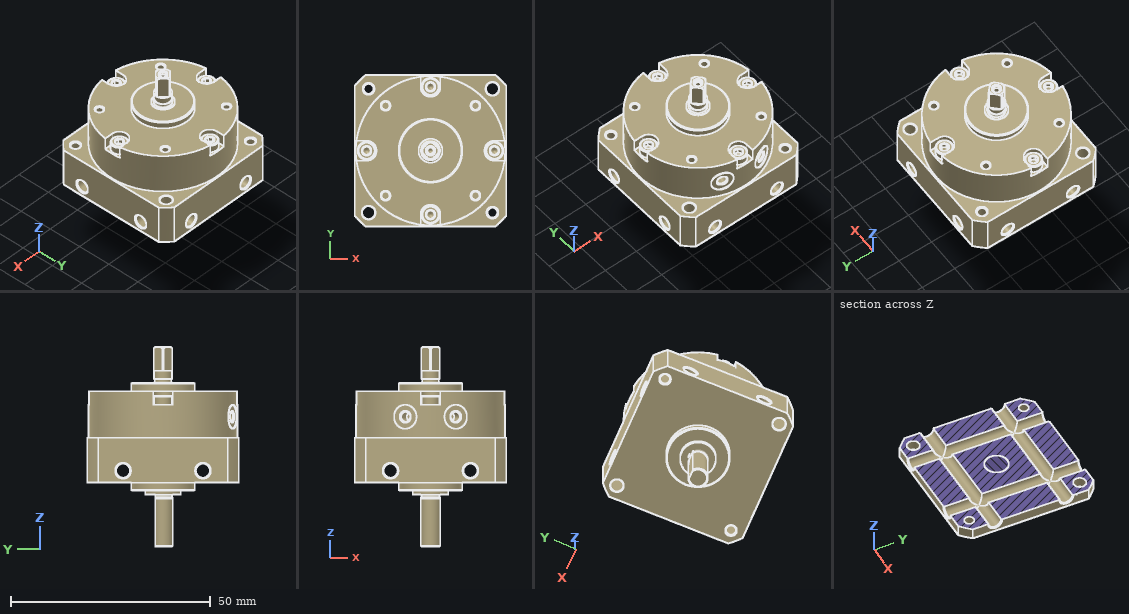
import cadquery as cq
import math

base_width = 38.0
base_height = 11.3
base_corner_diameter = 50.0
drum_diameter = 37.4
drum_top = 22.9
boss_diameter = 16.0
boss_top = 25.0
boss_bottom = -2.0
boss_chamfer = 0.25

cross_hole_diameter = 3.5
cross_hole_rim = 4.0
cross_hole_offset = 10.0
cross_hole_height = 3.0

corner_hole_offset = 15.5
clearance_diameter = 3.2
clearance_rim = 3.5
thread_diameter = 2.45
thread_rim = 3.0

mount_hole_offset = 11.25
mount_hole_diameter = 2.0
mount_hole_rim = 2.5
mount_hole_depth = 3.0

screw_circle_radius = 16.0
slot_width = 5.0
slot_floor = 19.45
screw_head_diameter = 4.5
screw_head_top = 21.8
screw_head_chamfer = 0.25
socket_flats = 2.0
socket_depth = 1.5
socket_rim = 2.45
drill_point_angle = 118.0

port_angles = (-110.0, -70.0)
port_height = 16.5
port_face_diameter = 6.0
port_face_radius = 18.45
port_depth = 4.5

journal_diameter = 6.0
shaft_length = 50.0
shaft_reach_above_boss = 9.0
shaft_top = boss_top + shaft_reach_above_boss
shaft_bottom = shaft_top - shaft_length
square_bottom = 28.0
square_flats = 3.6
square_corner_diameter = 4.75
square_chamfer = 0.4
neck_diameter = 4.6
neck_bottom = 26.0
top_groove_diameter = 4.2
top_groove_taper = 0.1
journal_recess = 0.25
journal_top = boss_top - journal_recess
journal_cone_height = 0.25
journal_cone_top_diameter = 4.8
collar_diameter = 9.0
collar_height = 1.0
collar_bottom = boss_bottom - collar_height
undercut_diameter = 4.6
undercut_width = 0.65
undercut_taper = 0.35
undercut_end = collar_bottom - undercut_width - undercut_taper
root_fillet = 0.25
output_diameter = 5.0
output_chamfer = 0.25
output_flat_distance = 2.0
center_hole_diameter = 1.55
center_recess_diameter = 2.2
center_recess_rim = 2.45
center_recess_depth = 0.5
center_hole_depth = 3.0


def cone_height(diameter):
    """Height of a drill point of the given diameter."""
    return diameter / 2 / math.tan(math.radians(drill_point_angle / 2))


def drill(plane, diameter, rim, depth, pointed=False):
    """Cutter that goes in along -normal of the plane, with a 45 degree countersink at its mouth."""
    radius = diameter / 2
    lip = (rim - diameter) / 2
    tip = depth + (cone_height(diameter) if pointed else 0)
    profile = (
        cq.Workplane("XZ")
        .moveTo(0, 0)
        .lineTo(radius + lip, 0)
        .lineTo(radius, -lip)
        .lineTo(radius, -depth)
        .lineTo(0, -tip)
        .close()
    )
    cutter = profile.revolve(360, (0, 0, 0), (0, 1, 0)).val()
    return cq.Workplane(cutter.moved(cq.Location(plane)))


def through_drill(plane, diameter, rim, length):
    """Cutter through the whole length, countersunk at both ends."""
    far_plane = cq.Plane(plane.origin - plane.zDir * length, plane.xDir, -plane.zDir)
    near_half = drill(plane, diameter, rim, length / 2)
    far_half = drill(far_plane, diameter, rim, length / 2)
    return near_half.union(far_half)


def upward_plane(x, y, z):
    return cq.Plane((x, y, z), (1, 0, 0), (0, 0, 1))


def base():
    block = cq.Workplane("XY").rect(base_width, base_width).extrude(base_height)
    trim = cq.Workplane("XY").circle(base_corner_diameter / 2).extrude(base_height)
    block = block.intersect(trim)

    half = base_width / 2
    for side in (-cross_hole_offset, cross_hole_offset):
        along_y = cq.Plane((side, -half, cross_hole_height), (1, 0, 0), (0, -1, 0))
        along_x = cq.Plane((-half, side, cross_hole_height), (0, 1, 0), (-1, 0, 0))
        for plane in (along_x, along_y):
            block = block.cut(through_drill(plane, cross_hole_diameter, cross_hole_rim, base_width))

    for x_sign in (-1, 1):
        for y_sign in (-1, 1):
            plane = upward_plane(x_sign * corner_hole_offset, y_sign * corner_hole_offset, base_height)
            if x_sign == y_sign:
                hole = through_drill(plane, clearance_diameter, clearance_rim, base_height)
            else:
                hole = through_drill(plane, thread_diameter, thread_rim, base_height)
            block = block.cut(hole)
    return block


def screw_slot(angle):
    """Open-ended slot around one screw head."""
    height = drum_top - slot_floor
    length = drum_diameter / 2
    straight = (
        cq.Workplane("XY", origin=(screw_circle_radius, 0, slot_floor))
        .rect(length, slot_width)
        .extrude(height)
        .translate((length / 2, 0, 0))
    )
    rounded = (
        cq.Workplane("XY", origin=(screw_circle_radius, 0, slot_floor))
        .circle(slot_width / 2)
        .extrude(height)
    )
    return straight.union(rounded).rotate((0, 0, 0), (0, 0, 1), angle)


def screw_head(angle):
    """Socket screw head, with a hexagon whose corners point along Y."""
    x = screw_circle_radius * math.cos(math.radians(angle))
    y = screw_circle_radius * math.sin(math.radians(angle))
    head = (
        cq.Workplane("XY", origin=(x, y, slot_floor))
        .circle(screw_head_diameter / 2)
        .extrude(screw_head_top - slot_floor)
        .faces(">Z")
        .chamfer(screw_head_chamfer)
    )
    hexagon = (
        cq.Workplane("XY", origin=(x, y, screw_head_top))
        .transformed(rotate=(0, 0, 90))
        .polygon(6, socket_flats, circumscribed=True)
        .extrude(-socket_depth)
    )
    top_plane = upward_plane(x, y, screw_head_top)
    point = drill(top_plane, socket_flats, socket_rim, socket_depth, pointed=True)
    return head.cut(hexagon).cut(point)


def port(angle):
    """Spot face and threaded hole of one air port, pointing at the main axis."""
    direction = cq.Vector(math.cos(math.radians(angle)), math.sin(math.radians(angle)), 0)
    origin = direction * port_face_radius + cq.Vector(0, 0, port_height)
    plane = cq.Plane(origin, (0, 0, 1), direction)
    face_depth = drum_diameter / 2 - port_face_radius
    spot_face = cq.Workplane(plane).circle(port_face_diameter / 2).extrude(face_depth)
    return spot_face.union(drill(plane, thread_diameter, thread_rim, port_depth))


def drum():
    body = (
        cq.Workplane("XY", origin=(0, 0, base_height))
        .circle(drum_diameter / 2)
        .extrude(drum_top - base_height)
    )
    for angle in (0, 90, 180, 270):
        body = body.cut(screw_slot(angle)).union(screw_head(angle))
    for x in (-mount_hole_offset, mount_hole_offset):
        for y in (-mount_hole_offset, mount_hole_offset):
            plane = upward_plane(x, y, drum_top)
            body = body.cut(drill(plane, mount_hole_diameter, mount_hole_rim, mount_hole_depth))
    for angle in port_angles:
        body = body.cut(port(angle))
    return body


def boss(start, end):
    """Centring boss with a chamfered outer end."""
    outer_face = ">Z" if end > start else "<Z"
    return (
        cq.Workplane("XY", origin=(0, 0, start))
        .circle(boss_diameter / 2)
        .extrude(end - start)
        .faces(outer_face)
        .chamfer(boss_chamfer)
    )


def make_housing():
    body = base().union(drum()).union(boss(drum_top, boss_top)).union(boss(0, boss_bottom))
    bore = (
        cq.Workplane("XY", origin=(0, 0, boss_bottom))
        .circle(journal_diameter / 2)
        .extrude(boss_top - boss_bottom)
    )
    return body.cut(bore)


def shaft_blank():
    """Turned shape of the shaft, from the output end up to the square end."""
    output_radius = output_diameter / 2
    undercut_radius = undercut_diameter / 2
    journal_radius = journal_diameter / 2
    groove_radius = top_groove_diameter / 2
    cone_top_radius = journal_cone_top_diameter / 2
    square_radius = square_corner_diameter / 2
    cone_top = journal_top + journal_cone_height
    return (
        cq.Workplane("XZ")
        .moveTo(0, shaft_bottom)
        .lineTo(output_radius - output_chamfer, shaft_bottom)
        .lineTo(output_radius, shaft_bottom + output_chamfer)
        .lineTo(output_radius, undercut_end)
        .lineTo(undercut_radius, collar_bottom - undercut_width)
        .lineTo(undercut_radius, collar_bottom - root_fillet)
        .radiusArc((undercut_radius + root_fillet, collar_bottom), root_fillet)
        .lineTo(collar_diameter / 2, collar_bottom)
        .lineTo(collar_diameter / 2, boss_bottom)
        .lineTo(journal_radius, boss_bottom)
        .lineTo(journal_radius, journal_top)
        .lineTo(cone_top_radius, cone_top)
        .lineTo(groove_radius + root_fillet, cone_top)
        .radiusArc((groove_radius, cone_top + root_fillet), root_fillet)
        .lineTo(groove_radius, neck_bottom - top_groove_taper)
        .lineTo(neck_diameter / 2, neck_bottom)
        .lineTo(neck_diameter / 2, square_bottom)
        .lineTo(square_radius, square_bottom)
        .lineTo(square_radius, shaft_top - square_chamfer)
        .lineTo(square_radius - square_chamfer, shaft_top)
        .lineTo(0, shaft_top)
        .close()
        .revolve(360, (0, 0, 0), (0, 1, 0))
    )


def square_cut():
    """Material removed around the square end, whose corners point along X and Y."""
    height = shaft_top - square_bottom
    ring = cq.Workplane("XY", origin=(0, 0, square_bottom)).circle(square_corner_diameter).extrude(height)
    square = (
        cq.Workplane("XY", origin=(0, 0, square_bottom))
        .transformed(rotate=(0, 0, 45))
        .rect(square_flats, square_flats)
        .extrude(height)
    )
    return ring.cut(square)


def output_flat_cut():
    """Material removed on the +Y side of the output end, up to the collar."""
    depth = output_diameter / 2 - output_flat_distance
    return cq.Workplane("XY").box(
        output_diameter, depth, collar_bottom - shaft_bottom, centered=(True, False, False)
    ).translate((0, output_flat_distance, shaft_bottom))


def center_hole():
    """Recess in the shaft end that narrows through a cone to a blind threaded hole."""
    top_plane = upward_plane(0, 0, shaft_top)
    recess = drill(top_plane, center_recess_diameter, center_recess_rim, center_recess_depth)
    hole = drill(
        upward_plane(0, 0, shaft_top - center_recess_depth),
        center_hole_diameter,
        center_recess_diameter,
        center_hole_depth - center_recess_depth,
        pointed=True,
    )
    return recess.union(hole)


def make_shaft():
    return shaft_blank().cut(square_cut()).cut(output_flat_cut()).cut(center_hole())


housing = make_housing()
shaft = make_shaft()
result = cq.Compound.makeCompound([housing.val(), shaft.val()])